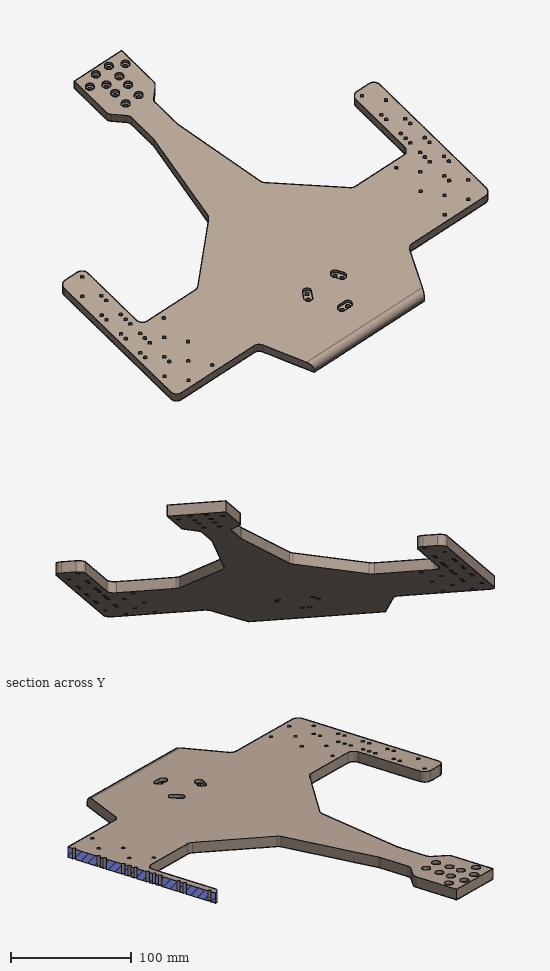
import cadquery as cq
import math

length = 356.2
width = 337.5
thickness = 9.5
hole_row_length = 139.5
hole_row_steps = 22
pitch = hole_row_length / hole_row_steps
corner_radius = pitch

head_half = 4 * pitch
head_end = 7 * pitch
neck_half = 2 * pitch
neck_start = head_end + head_half - neck_half
neck_end = 14 * pitch
flare_end = 180.5
flare_half = 28.5
body_right = 309.0
body_left = body_right - 12 * pitch
body_half = 83.5
arm_left = body_right - 24 * pitch
arm_outer = width / 2
arm_inner = arm_outer - 4 * pitch
nose_base_half = 80.5
nose_tip_half = 59.0

arm_hole_diameter = 3.0
bolt_diameter = 3.5
counterbore_diameter = 7.5
counterbore_depth = 3.2
head_pair_spacing = 14.0
slot_circle_x = 305.0
slot_circle_radius = 3 * pitch
slot_count = 3

arm_rows = [
    (1, [2.5, 6.5, 7.5, 10.5, 11.5, 14.5, 15.5, 19.5]),
    (3, [0, 4, 5, 8, 9, 10, 12, 13, 14, 17, 18, hole_row_steps]),
    (5, [14.5, 19.5]),
    (7, [12, 17, hole_row_steps]),
]


def make_plate():
    """Flat symmetric plate with rounded corners and a rounded nose edge."""
    square_corners = [(0, head_half)]
    rounded_corners = [
        (head_end, head_half),
        (neck_start, neck_half),
        (neck_end, neck_half),
        (flare_end, flare_half),
        (body_left, body_half),
        (body_left, arm_inner),
        (arm_left, arm_inner),
        (arm_left, arm_outer),
        (body_right, arm_outer),
        (body_right, nose_base_half),
    ]
    nose_corner = [(length, nose_tip_half)]
    upper = square_corners + rounded_corners + nose_corner
    lower = [(x, -y) for x, y in reversed(upper)]
    plate = cq.Workplane("XY").polyline(upper + lower).close().extrude(thickness)

    reach = 0.5
    for x, y in rounded_corners:
        for side in (y, -y):
            corner = cq.selectors.BoxSelector(
                (x - reach, side - reach, 0), (x + reach, side + reach, thickness)
            )
            plate = plate.edges("|Z").edges(corner).fillet(corner_radius)
    return plate.faces(">X").edges(">Z").fillet(corner_radius)


def arm_hole_points():
    """Grid holes of both arms, mirrored about the centreline."""
    first_column = arm_left + pitch
    points = []
    for row, columns in arm_rows:
        y = arm_outer - row * pitch
        for column in columns:
            x = first_column + column * pitch
            points += [(x, y), (x, -y)]
    return points


def head_hole_points():
    """Two square groups of four holes and two single holes beside the first group."""
    first_group = 2 * pitch
    second_group = first_group + 4 * pitch
    single_offset = 3 * pitch
    half = head_pair_spacing / 2
    points = [(first_group, single_offset), (first_group, -single_offset)]
    for group in (first_group, second_group):
        points += [(group + dx, dy) for dx in (-half, half) for dy in (-half, half)]
    return points


def cut_slots(plate):
    """Obround recesses tangent to a circle, each with two through holes."""
    for i in range(slot_count):
        angle = i * 360 / slot_count
        x = slot_circle_x + slot_circle_radius * math.cos(math.radians(angle))
        y = slot_circle_radius * math.sin(math.radians(angle))
        tangent = (-math.sin(math.radians(angle)), math.cos(math.radians(angle)), 0)
        plane = cq.Plane(origin=(x, y, thickness), xDir=tangent, normal=(0, 0, 1))
        recess = cq.Workplane(plane).slot2D(pitch + counterbore_diameter, counterbore_diameter)
        plate = plate.cut(recess.extrude(-counterbore_depth))
        bolts = cq.Workplane(plane).pushPoints([(-pitch / 2, 0), (pitch / 2, 0)])
        plate = plate.cut(bolts.circle(bolt_diameter / 2).extrude(-thickness))
    return plate


def on_top(plate):
    """Plate with its workplane on the top face, at the head end of the centreline."""
    return plate.copyWorkplane(cq.Workplane("XY", origin=(0, 0, thickness)))


result = make_plate()
result = on_top(result).pushPoints(arm_hole_points()).hole(arm_hole_diameter)
result = on_top(result).pushPoints(head_hole_points()).cboreHole(
    bolt_diameter, counterbore_diameter, counterbore_depth
)
result = cut_slots(result)